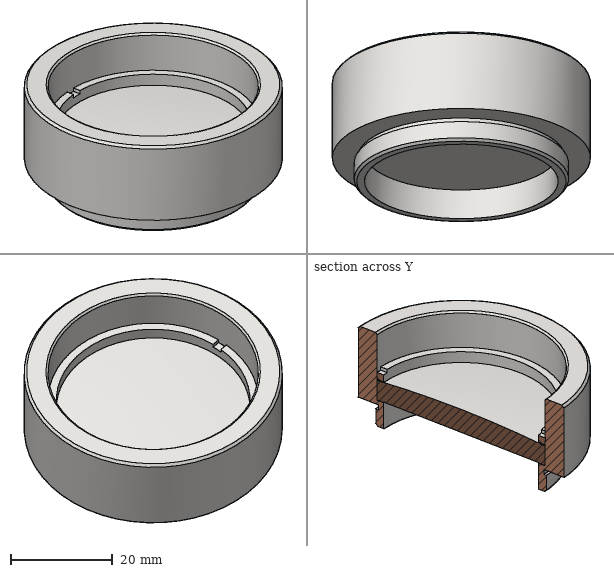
import cadquery as cq
import math

total_height = 21.5
barrel_radius = 25.4
spigot_radius = 21.1
spigot_height = 3.95
neck_radius = 20.45
neck_height = 1.0
edge_chamfer = 0.5
bore_radius = 20.7
bore_chamfer = 0.4
seat_height = 6.1
clear_radius = 19.05

ring_depth = 8.3
ring_thickness = 2.5
notch_width = 2.05
notch_depth = 0.75

dome_rise = 0.75

barrel_base = spigot_height + neck_height
ring_top = total_height - ring_depth
ring_base = ring_top - ring_thickness


def make_housing():
    spigot = cq.Workplane("XY").circle(spigot_radius).extrude(spigot_height)
    spigot = spigot.faces("<Z").chamfer(edge_chamfer)
    neck = cq.Workplane("XY").workplane(offset=spigot_height).circle(neck_radius).extrude(neck_height)
    barrel = cq.Workplane("XY").workplane(offset=barrel_base).circle(barrel_radius)
    barrel = barrel.extrude(total_height - barrel_base).faces(">Z").chamfer(edge_chamfer)
    body = spigot.union(neck).union(barrel)

    aperture = cq.Workplane("XY").circle(clear_radius).extrude(total_height)
    bore = cq.Workplane("XY").workplane(offset=seat_height).circle(bore_radius)
    bore = bore.extrude(total_height - seat_height)
    body = body.cut(aperture).cut(bore)
    bore_rim = cq.selectors.RadiusNthSelector(0)
    return body.faces(">Z").edges(bore_rim).chamfer(bore_chamfer)


def make_retaining_ring():
    ring = cq.Workplane("XY").workplane(offset=ring_base)
    ring = ring.circle(bore_radius).circle(clear_radius).extrude(ring_thickness)
    notches = cq.Workplane("XY").workplane(offset=ring_top - notch_depth)
    notches = notches.rect(2 * bore_radius, notch_width).extrude(notch_depth)
    return ring.cut(notches)


def make_lens():
    dome_radius = (clear_radius**2 + dome_rise**2) / (2 * dome_rise)
    crown = ring_base + dome_rise
    dome_center = crown - dome_radius

    def dome_height(radius):
        return dome_center + math.sqrt(dome_radius**2 - radius**2)

    profile = (
        cq.Workplane("XZ")
        .moveTo(0, seat_height)
        .lineTo(bore_radius, seat_height)
        .lineTo(bore_radius, dome_height(bore_radius))
        .threePointArc((bore_radius / 2, dome_height(bore_radius / 2)), (0, crown))
        .close()
    )
    return profile.revolve(360, (0, 0, 0), (0, 1, 0))


housing = make_housing()
retaining_ring = make_retaining_ring()
lens = make_lens()

result = cq.Compound.makeCompound([housing.val(), retaining_ring.val(), lens.val()])